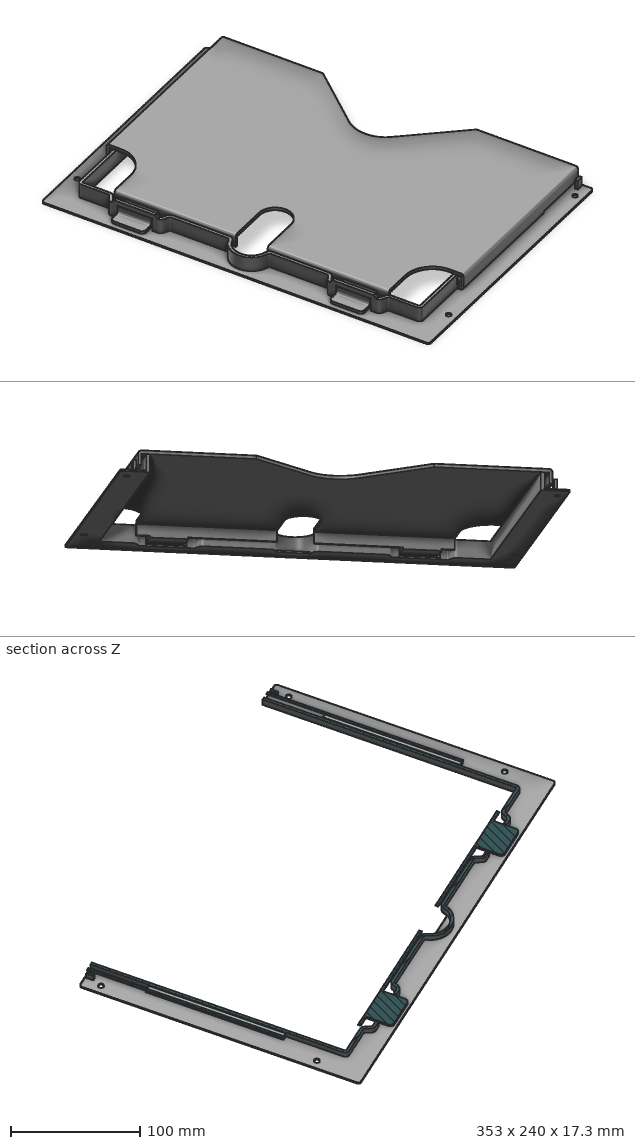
import cadquery as cq
import math

PLATE_LENGTH = 353.0
PLATE_DEPTH = 240.0
PLATE_THICKNESS = 1.5
PLATE_CORNER_RADIUS = 2.5
BACK_Y = PLATE_DEPTH / 2
WINDOW_FRONT_Y = -105.0
SCREW_HOLE_DIAMETER = 4.5
SCREW_HOLE_X = 169.0
SCREW_HOLE_Y_POSITIONS = (-79.8, 105.0)

WALL_THICKNESS = 3.0
WALL_TOP = 14.5
WALL_HALF_WIDTH = 156.5
WALL_FRONT_Y = -100.0
WALL_CORNER_RADIUS = 3.5
THUMB_BULGE_RADIUS = 18.5
THUMB_BULGE_CENTRE_Y = -96.5
THUMB_BLEND_RADIUS = 2.0

LATCH_X = 99.5
BULGE_FRONT_Y = -107.3
BULGE_ROOT_HALF_WIDTH = 27.5
BULGE_FRONT_HALF_WIDTH = 23.5
BULGE_CORNER_RADIUS = 4.5
BULGE_BLEND_RADIUS = 2.0
BRIDGE_TOP_HALF_WIDTH = 18.7
BRIDGE_BASE_HALF_WIDTH = 21.2
LATCH_SLOT_HALF_WIDTH = 16.0
LATCH_SLOT_TOP = 13.0

SNAP_BACK_Y = 70.0
RIDGE_DEPTH = 3.2
RIDGE_BOTTOM = 5.5
RIDGE_TOP = 11.3
LUG_OUTER_X = 166.5
LUG_THICKNESS = 2.5
LUG_FRONT_Y = 112.5
LUG_BACK_Y = 119.0
LUG_TOP = 9.5

COVER_TOP = 17.3
COVER_HALF_WIDTH = 162.7
COVER_FRONT_Y = -96.5
COVER_SHEET = 2.5
COVER_EDGE_RADIUS = 3.0
SKIRT_BOTTOM = 5.5
HOOK_BOTTOM = 1.8
HOOK_TIP_X = 157.0
HOOK_RADIUS = 3.5
CUTOUT_BACK_Y = -47.3
CUTOUT_INNER_X = 125.0
CUTOUT_RADIUS = 24.7
THUMB_SLOT_RADIUS = 14.5
NOTCH_HALF_WIDTH = 70.0
NOTCH_APEX_DEPTH = 59.5
NOTCH_RADIUS = 29.5

LATCH_HALF_WIDTH = 15.2
LATCH_BOTTOM = 4.2
LATCH_ARM_TOP = 12.7
TONGUE_TOP = 6.7
TONGUE_ROOT_RADIUS = 3.0
TONGUE_TIP_Y = -118.5
TONGUE_CORNER_RADIUS = 3.5

SIDES = (-1, 1)
CORNER_REACH = 0.18


def block(x_min, x_max, y_min, y_max, z_min, z_max):
    """Box given by its limits."""
    return cq.Workplane("XY").box(
        x_max - x_min, y_max - y_min, z_max - z_min, centered=False
    ).translate((x_min, y_min, z_min))


def at_corner(x, y):
    """Selector for the vertical edge standing at one plan position."""
    low_corner = (x - CORNER_REACH, y - CORNER_REACH, 0)
    high_corner = (x + CORNER_REACH, y + CORNER_REACH, COVER_TOP)
    return cq.selectors.BoxSelector(low_corner, high_corner)


def wall_footprint():
    """Solid filling the outer outline of the wall; it runs past the back edge of the plate."""
    body = block(
        -WALL_HALF_WIDTH, WALL_HALF_WIDTH,
        WALL_FRONT_Y, BACK_Y + 2 * WALL_THICKNESS, 0, WALL_TOP,
    )
    thumb_bulge = (
        cq.Workplane("XY")
        .center(0, THUMB_BULGE_CENTRE_Y)
        .circle(THUMB_BULGE_RADIUS)
        .extrude(WALL_TOP)
    )
    body = body.union(thumb_bulge)
    for side in SIDES:
        x = side * LATCH_X
        bulge = (
            cq.Workplane("XY")
            .polyline([
                (x - BULGE_ROOT_HALF_WIDTH, WALL_FRONT_Y),
                (x - BULGE_FRONT_HALF_WIDTH, BULGE_FRONT_Y),
                (x + BULGE_FRONT_HALF_WIDTH, BULGE_FRONT_Y),
                (x + BULGE_ROOT_HALF_WIDTH, WALL_FRONT_Y),
            ])
            .close()
            .extrude(WALL_TOP)
        )
        body = body.union(bulge)
    thumb_root_x = math.sqrt(THUMB_BULGE_RADIUS**2 - (THUMB_BULGE_CENTRE_Y - WALL_FRONT_Y) ** 2)
    for side in SIDES:
        body = body.edges(at_corner(side * WALL_HALF_WIDTH, WALL_FRONT_Y)).fillet(WALL_CORNER_RADIUS)
        body = body.edges(at_corner(side * thumb_root_x, WALL_FRONT_Y)).fillet(THUMB_BLEND_RADIUS)
        for end in SIDES:
            root_x = side * LATCH_X + end * BULGE_ROOT_HALF_WIDTH
            front_x = side * LATCH_X + end * BULGE_FRONT_HALF_WIDTH
            body = body.edges(at_corner(root_x, WALL_FRONT_Y)).fillet(BULGE_BLEND_RADIUS)
            body = body.edges(at_corner(front_x, BULGE_FRONT_Y)).fillet(BULGE_CORNER_RADIUS)
    return body


def latch_bridge(x):
    """Raised strip with sloping ends that tops the wall over a latch slot."""
    return (
        cq.Workplane("XZ", origin=(x, BULGE_FRONT_Y, 0))
        .polyline([
            (-BRIDGE_BASE_HALF_WIDTH, WALL_TOP),
            (-BRIDGE_TOP_HALF_WIDTH, COVER_TOP),
            (BRIDGE_TOP_HALF_WIDTH, COVER_TOP),
            (BRIDGE_BASE_HALF_WIDTH, WALL_TOP),
        ])
        .close()
        .extrude(-WALL_THICKNESS)
    )


def latch_slot(x):
    """Opening in the wall, from the plate upwards, that a latch passes through."""
    return block(
        x - LATCH_SLOT_HALF_WIDTH, x + LATCH_SLOT_HALF_WIDTH,
        BULGE_FRONT_Y - WALL_THICKNESS, BULGE_FRONT_Y + 2 * WALL_THICKNESS,
        PLATE_THICKNESS, LATCH_SLOT_TOP,
    )


def snap_ridge(side):
    """Triangular ridge on the outer face of a side wall that the cover hook grips."""
    return (
        cq.Workplane("XZ", origin=(0, CUTOUT_BACK_Y, 0))
        .polyline([
            (side * WALL_HALF_WIDTH, RIDGE_BOTTOM),
            (side * (WALL_HALF_WIDTH + RIDGE_DEPTH), (RIDGE_BOTTOM + RIDGE_TOP) / 2),
            (side * WALL_HALF_WIDTH, RIDGE_TOP),
        ])
        .close()
        .extrude(-(SNAP_BACK_Y - CUTOUT_BACK_Y))
    )


def stop_lug(side):
    """Small upright lug on the plate beside the back end of the cover."""
    x_limits = sorted((side * LUG_OUTER_X, side * (LUG_OUTER_X - LUG_THICKNESS)))
    return block(*x_limits, LUG_FRONT_Y, LUG_BACK_Y, 0, LUG_TOP)


def make_base():
    outer = wall_footprint()
    inner = (
        cq.Workplane("XY")
        .add(outer.faces("<Z").wires().vals())
        .toPending()
        .offset2D(-WALL_THICKNESS)
        .extrude(WALL_TOP)
    )
    plate = (
        cq.Workplane("XY")
        .rect(PLATE_LENGTH, PLATE_DEPTH)
        .extrude(PLATE_THICKNESS)
        .edges("|Z").fillet(PLATE_CORNER_RADIUS)
    )
    window_limit = block(
        -PLATE_LENGTH, PLATE_LENGTH, WINDOW_FRONT_Y, PLATE_DEPTH, 0, PLATE_THICKNESS
    )
    holes = (
        cq.Workplane("XY")
        .pushPoints([(side * SCREW_HOLE_X, y) for side in SIDES for y in SCREW_HOLE_Y_POSITIONS])
        .circle(SCREW_HOLE_DIAMETER / 2)
        .extrude(PLATE_THICKNESS)
    )
    plate = plate.cut(inner.intersect(window_limit)).cut(holes)
    wall_limit = block(-PLATE_LENGTH, PLATE_LENGTH, -BACK_Y, BACK_Y, 0, WALL_TOP)
    wall = outer.cut(inner).intersect(wall_limit)
    body = plate.union(wall)
    for side in SIDES:
        body = body.union(latch_bridge(side * LATCH_X)).cut(latch_slot(side * LATCH_X))
        body = body.union(snap_ridge(side)).union(stop_lug(side))
    return body


def cover_shell():
    """Sheet with a skirt on the front and both sides, open at the bottom and the back."""
    shell = block(
        -COVER_HALF_WIDTH, COVER_HALF_WIDTH, COVER_FRONT_Y, BACK_Y, SKIRT_BOTTOM, COVER_TOP
    )
    shell = shell.faces(">Z").edges("<X or >X or <Y").fillet(COVER_EDGE_RADIUS)
    hollow = block(
        -COVER_HALF_WIDTH + COVER_SHEET, COVER_HALF_WIDTH - COVER_SHEET,
        COVER_FRONT_Y + COVER_SHEET, BACK_Y, SKIRT_BOTTOM, WALL_TOP,
    )
    return shell.cut(hollow)


def corner_cutout(side):
    """Rounded window that removes a front corner of the cover."""
    x_limits = sorted((side * CUTOUT_INNER_X, side * PLATE_LENGTH))
    cutout = block(*x_limits, -PLATE_DEPTH, CUTOUT_BACK_Y, 0, COVER_TOP)
    return cutout.edges(at_corner(side * CUTOUT_INNER_X, CUTOUT_BACK_Y)).fillet(CUTOUT_RADIUS)


def thumb_slot():
    """Round-ended slot open to the front edge."""
    centre_y = CUTOUT_BACK_Y - THUMB_SLOT_RADIUS
    return (
        cq.Workplane("XY")
        .moveTo(-THUMB_SLOT_RADIUS, -BACK_Y)
        .lineTo(-THUMB_SLOT_RADIUS, centre_y)
        .threePointArc((0, CUTOUT_BACK_Y), (THUMB_SLOT_RADIUS, centre_y))
        .lineTo(THUMB_SLOT_RADIUS, -BACK_Y)
        .close()
        .extrude(COVER_TOP)
    )


def back_notch():
    """V-shaped notch in the back edge with a rounded bottom."""
    slope = math.atan2(NOTCH_APEX_DEPTH, NOTCH_HALF_WIDTH)
    apex_y = BACK_Y - NOTCH_APEX_DEPTH
    arc_centre_y = apex_y + NOTCH_RADIUS / math.cos(slope)
    tangent_x = NOTCH_RADIUS * math.sin(slope)
    tangent_y = arc_centre_y - NOTCH_RADIUS * math.cos(slope)
    return (
        cq.Workplane("XY")
        .moveTo(-NOTCH_HALF_WIDTH, BACK_Y)
        .lineTo(-tangent_x, tangent_y)
        .threePointArc((0, arc_centre_y - NOTCH_RADIUS), (tangent_x, tangent_y))
        .lineTo(NOTCH_HALF_WIDTH, BACK_Y)
        .close()
        .extrude(COVER_TOP)
    )


def side_hook(side):
    """Inward hook with a rounded outer edge along the bottom of a side skirt."""
    middle = HOOK_RADIUS * (1 - math.sqrt(0.5))
    return (
        cq.Workplane("XZ", origin=(0, CUTOUT_BACK_Y, 0))
        .moveTo(side * COVER_HALF_WIDTH, SKIRT_BOTTOM)
        .lineTo(side * COVER_HALF_WIDTH, HOOK_BOTTOM + HOOK_RADIUS)
        .threePointArc(
            (side * (COVER_HALF_WIDTH - middle), HOOK_BOTTOM + middle),
            (side * (COVER_HALF_WIDTH - HOOK_RADIUS), HOOK_BOTTOM),
        )
        .lineTo(side * HOOK_TIP_X, HOOK_BOTTOM)
        .lineTo(side * HOOK_TIP_X, SKIRT_BOTTOM)
        .close()
        .extrude(-(SNAP_BACK_Y - CUTOUT_BACK_Y))
    )


def latch(x):
    """Arm from the front skirt through the wall slot, blending into a thin tongue at its end."""
    arm_root_y = COVER_FRONT_Y + COVER_SHEET
    root_middle = TONGUE_ROOT_RADIUS * (1 - math.sqrt(0.5))
    return (
        cq.Workplane("YZ", origin=(x - LATCH_HALF_WIDTH, 0, 0))
        .moveTo(arm_root_y, LATCH_BOTTOM)
        .lineTo(arm_root_y, LATCH_ARM_TOP)
        .lineTo(BULGE_FRONT_Y, LATCH_ARM_TOP)
        .lineTo(BULGE_FRONT_Y, TONGUE_TOP + TONGUE_ROOT_RADIUS)
        .threePointArc(
            (BULGE_FRONT_Y - root_middle, TONGUE_TOP + root_middle),
            (BULGE_FRONT_Y - TONGUE_ROOT_RADIUS, TONGUE_TOP),
        )
        .lineTo(TONGUE_TIP_Y, TONGUE_TOP)
        .lineTo(TONGUE_TIP_Y, LATCH_BOTTOM)
        .close()
        .extrude(2 * LATCH_HALF_WIDTH)
        .faces("<Y").edges("|Z").fillet(TONGUE_CORNER_RADIUS)
    )


def make_cover():
    body = cover_shell().cut(thumb_slot()).cut(back_notch())
    for side in SIDES:
        body = body.cut(corner_cutout(side))
        body = body.union(side_hook(side)).union(latch(side * LATCH_X))
    return body


base = make_base()
cover = make_cover()
result = cq.Compound.makeCompound([base.solids().val(), cover.solids().val()])